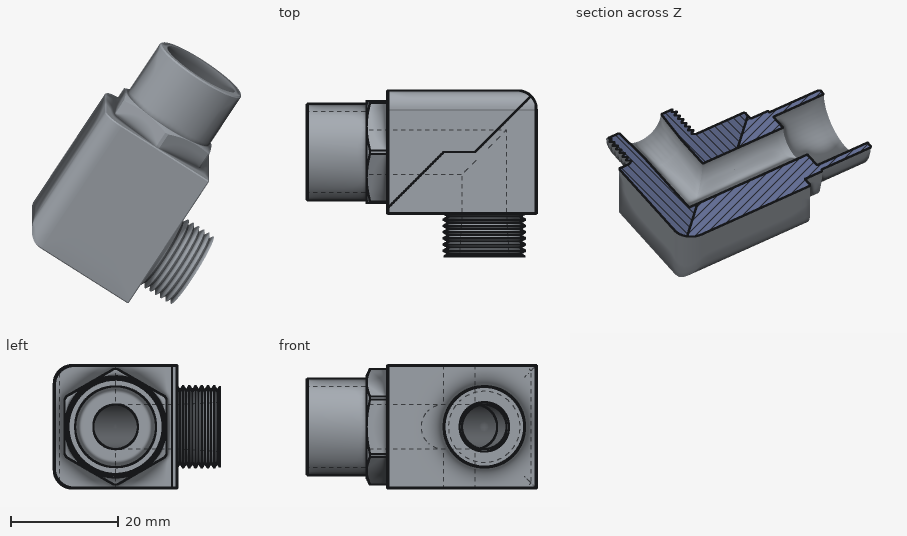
import cadquery as cq
import math


block_length = 27.9
block_width = 23.1
outlet_to_right = 9.8
corner_radius = 3.65
edge_chamfer = 0.2

block_right = outlet_to_right
block_left = block_right - block_length
half_width = block_width / 2

joint_lip = 1.05

hex_across_flats = 19.0
hex_corner_diameter = 21.6
hex_length = 3.85
hex_chamfer_diameter = 18.9
hex_chamfer_length = 0.65
socket_length = 11.15
socket_outer_diameter = 18.1
socket_inner_diameter = 15.1
socket_chamfer = 0.25

hex_left = block_left - hex_length
socket_left = hex_left - socket_length

spigot_length = 7.9
thread_diameter = 15.2
thread_depth = 0.95
thread_pitch = 1.15
thread_groove_width = 1.1
thread_groove_count = 7

bore_diameter = 8.33
outlet_mouth_diameter = 9.25


def along_x(start):
    """Workplane normal to +X, centred on the inlet axis at x = start."""
    return cq.Workplane("YZ", origin=(start, 0, 0))


def along_outlet(start):
    """Workplane normal to -Y, centred on the outlet axis at y = -start."""
    return cq.Workplane("XZ", origin=(0, -start, 0))


def make_block():
    block = along_x(block_left).rect(block_width, block_width).extrude(block_length)
    block = block.faces(">Y").edges("|X").fillet(corner_radius)
    block = block.faces("<X or <Y").edges().chamfer(edge_chamfer)
    block = block.faces(">X").edges("|Y").chamfer(edge_chamfer)

    rounding = (
        cq.Workplane("XY", origin=(block_right - block_length / 2, 0, 0))
        .rect(block_length, block_width)
        .extrude(half_width, both=True)
        .edges("|Z and >X and >Y")
        .fillet(corner_radius)
    )
    return block.intersect(rounding)


def make_outlet_side():
    """Prism on the outlet side of the joint: two 45 degree slopes with a flat step between them."""
    lower_slope = half_width - joint_lip
    return (
        cq.Workplane("XY")
        .moveTo(block_left, -half_width)
        .lineTo(block_left, -lower_slope)
        .lineTo(block_left + lower_slope, 0)
        .lineTo(block_right - half_width, 0)
        .lineTo(block_right, half_width)
        .lineTo(block_right, -half_width)
        .close()
        .extrude(half_width, both=True)
    )


def make_passage():
    """Mitred elbow bore that opens into a taper through the spigot."""
    path = (
        cq.Workplane("XY")
        .moveTo(hex_left, 0)
        .lineTo(0, 0)
        .lineTo(0, -half_width)
    )
    elbow = along_x(hex_left).circle(bore_diameter / 2).sweep(path, transition="right")
    taper = (
        along_outlet(half_width)
        .circle(bore_diameter / 2)
        .workplane(offset=spigot_length)
        .circle(outlet_mouth_diameter / 2)
        .loft()
    )
    return elbow.union(taper)


def make_hexagon():
    across_corners = hex_across_flats / math.cos(math.pi / 6)
    hexagon = (
        along_x(hex_left)
        .transformed(rotate=(0, 0, 90))
        .polygon(6, across_corners)
        .extrude(hex_length)
    )
    envelope = (
        cq.Workplane("XY")
        .moveTo(hex_left, 0)
        .lineTo(hex_left, hex_chamfer_diameter / 2)
        .lineTo(hex_left + hex_chamfer_length, hex_corner_diameter / 2)
        .lineTo(block_left, hex_corner_diameter / 2)
        .lineTo(block_left, 0)
        .close()
        .revolve(360, (0, 0, 0), (1, 0, 0))
    )
    return hexagon.intersect(envelope)


def make_socket():
    socket = along_x(socket_left).circle(socket_outer_diameter / 2).extrude(socket_length)
    socket = socket.faces("<X").edges().chamfer(socket_chamfer)
    recess = along_x(socket_left).circle(socket_inner_diameter / 2).extrude(socket_length)
    return socket.cut(recess)


def make_thread_groove(distance):
    """Ring with a V section, its root at the given distance from the inlet axis."""
    thread_radius = thread_diameter / 2
    half_groove = thread_groove_width / 2
    return (
        cq.Workplane("XY")
        .moveTo(thread_radius - thread_depth, -distance)
        .lineTo(thread_radius, half_groove - distance)
        .lineTo(thread_radius, -half_groove - distance)
        .close()
        .revolve(360, (0, 0, 0), (0, 1, 0))
    )


def make_spigot():
    spigot = along_outlet(half_width).circle(thread_diameter / 2).extrude(spigot_length)
    first_root = half_width + (spigot_length - (thread_groove_count - 1) * thread_pitch) / 2
    for index in range(thread_groove_count):
        spigot = spigot.cut(make_thread_groove(first_root + index * thread_pitch))
    return spigot


block = make_block()
outlet_side = make_outlet_side()
passage = make_passage()

inlet_body = block.cut(outlet_side).union(make_hexagon()).union(make_socket()).cut(passage)
outlet_body = block.intersect(outlet_side).union(make_spigot()).cut(passage)

result = cq.Compound.makeCompound([inlet_body.val(), outlet_body.val()])